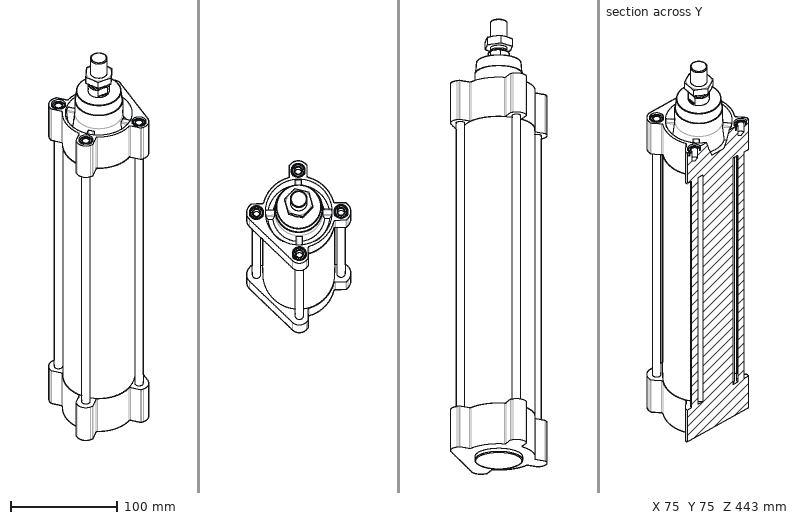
import cadquery as cq
import math

total_height = 443.0
pilot_height = 4.0
rear_cap_top = 45.0
front_cap_bottom = 334.5
front_cap_top = 374.0
neck_top = 390.5
collar_top = 402.0
flats_bottom = 403.5
shoulder_top = 411.5
undercut_top = 413.0
nut_bottom = 416.5
nut_thickness = 8.0

tube_diameter = 68.0
pilot_chamfer = 1.0
cap_width = 75.0
cap_diameter = 68.5
lug_radius = 9.5
lug_center = cap_width / 2 - lug_radius
lug_half_width = 8.5
root_fillet = 1.5
tip_fillet = 1.0

neck_diameter = 45.0
collar_base_diameter = 44.0
collar_top_diameter = 42.0
collar_chamfer = 0.5
pocket_depth = 20.0
pocket_rim_diameter = 63.0
pocket_floor_diameter = 58.5
pocket_hub_diameter = 49.0
rib_width = 6.0
rib_edge_fillet = 1.0
rib_drop = 3.0

tie_rod_diameter = 8.0
nut_bore_diameter = 13.5
nut_bore_depth = 5.5
tie_nut_diameter = 12.0
tie_nut_tip_diameter = 10.5
tie_nut_drop = 1.0
tap_mouth_diameter = 8.0
tap_diameter = 6.5
tap_depth = 13.5
drill_point_angle = 118.0

rod_diameter = 20.0
rod_flats_width = 17.5
shoulder_chamfer = 1.0
thread_diameter = 16.0
undercut_diameter = 14.0
thread_chamfer = 1.0
nut_across_flats = 24.0
nut_bevel_height = 0.35


def mirrored_points(x, y):
    """The point and its mirror images across the X and Y axes."""
    return [(sx * x, sy * y) for sx in (-1, 1) for sy in (-1, 1)]


def disc(diameter, bottom, top):
    """Cylinder on the Z axis."""
    return cq.Workplane("XY").workplane(offset=bottom).circle(diameter / 2).extrude(top - bottom)


def cone(bottom_diameter, top_diameter, bottom, top):
    """Frustum on the Z axis."""
    return cq.Workplane(
        cq.Solid.makeCone(bottom_diameter / 2, top_diameter / 2, top - bottom, cq.Vector(0, 0, bottom))
    )


def round_vertical_edge(body, x, y, bottom, top, radius):
    """Fillet the vertical edge of the body that stands at (x, y)."""
    edge_center = (x, y, (bottom + top) / 2)
    return body.edges("|Z").edges(cq.NearestToPointSelector(edge_center)).fillet(radius)


def lug(bottom, top):
    """Corner lug on the +X +Y diagonal: round outside, flat flanks parallel to the diagonal."""
    edge = cap_width / 2
    flank_shift = lug_half_width * math.sqrt(2)
    arc_mid = lug_center + lug_radius / math.sqrt(2)
    outline = (
        cq.Workplane("XY")
        .workplane(offset=bottom)
        .moveTo(0, flank_shift)
        .lineTo(edge - flank_shift, edge)
        .lineTo(lug_center, edge)
        .threePointArc((arc_mid, arc_mid), (edge, lug_center))
        .lineTo(edge, edge - flank_shift)
        .lineTo(flank_shift, 0)
        .close()
    )
    body = outline.extrude(top - bottom)
    body = round_vertical_edge(body, edge - flank_shift, edge, bottom, top, tip_fillet)
    return round_vertical_edge(body, edge, edge - flank_shift, bottom, top, tip_fillet)


def end_cap(bottom, top):
    """Round cap with four lugs and a flat plate joining the two +Y lugs."""
    cap = disc(cap_diameter, bottom, top)
    for quarter in range(4):
        cap = cap.union(lug(bottom, top).rotate((0, 0, 0), (0, 0, 1), 90 * quarter))
    root_reach = math.sqrt((cap_diameter / 2) ** 2 - lug_half_width**2)
    near = (root_reach - lug_half_width) / math.sqrt(2)
    far = (root_reach + lug_half_width) / math.sqrt(2)
    for x, y in mirrored_points(near, far) + mirrored_points(far, near):
        cap = round_vertical_edge(cap, x, y, bottom, top, root_fillet)
    plate = (
        cq.Workplane("XY")
        .workplane(offset=bottom)
        .rect(2 * lug_center, cap_width / 2)
        .extrude(top - bottom)
        .translate((0, cap_width / 4, 0))
    )
    return cap.union(plate)


def ring_pocket():
    """Drafted ring-shaped pocket around the neck, interrupted by four diagonal ribs."""
    floor = front_cap_top - pocket_depth
    pocket = cone(pocket_floor_diameter, pocket_rim_diameter, floor, front_cap_top)
    pocket = pocket.cut(cone(pocket_hub_diameter, neck_diameter, floor, front_cap_top))
    for angle in (45, 135):
        rib = (
            cq.Workplane("XY")
            .workplane(offset=floor)
            .rect(cap_diameter, rib_width)
            .extrude(pocket_depth - rib_drop)
            .edges(">Z and |X")
            .fillet(rib_edge_fillet)
            .rotate((0, 0, 0), (0, 0, 1), angle)
        )
        pocket = pocket.cut(rib)
    return pocket


def tie_nut_cutter():
    """Material removed around and inside one tie-rod nut, opening at z = 0."""
    bore = disc(nut_bore_diameter, -nut_bore_depth, 0)
    nut_edge = tie_nut_drop + (tie_nut_diameter - tie_nut_tip_diameter) / 2
    tie_nut = disc(tie_nut_diameter, -nut_bore_depth, -nut_edge)
    tie_nut = tie_nut.union(cone(tie_nut_diameter, tie_nut_tip_diameter, -nut_edge, -tie_nut_drop))
    mouth_depth = tie_nut_drop + (tap_mouth_diameter - tap_diameter) / 2
    tap = disc(tap_diameter, -tap_depth, -mouth_depth)
    point_depth = tap_depth + tap_diameter / 2 / math.tan(math.radians(drill_point_angle / 2))
    tap = tap.union(cone(0, tap_diameter, -point_depth, -tap_depth))
    tap = tap.union(cone(tap_diameter, tap_mouth_diameter, -mouth_depth, -tie_nut_drop))
    return bore.cut(tie_nut).union(tap)


def make_barrel():
    """Tube, both end caps, front neck, rear pilot and tie rods, bored for the piston rod."""
    barrel = disc(tube_diameter, rear_cap_top, front_cap_bottom)
    barrel = barrel.union(end_cap(pilot_height, rear_cap_top))
    barrel = barrel.union(end_cap(front_cap_bottom, front_cap_top))
    barrel = barrel.union(disc(neck_diameter, 0, pilot_height).faces("<Z").chamfer(pilot_chamfer))
    barrel = barrel.cut(ring_pocket())
    barrel = barrel.union(disc(neck_diameter, front_cap_top, neck_top))
    collar = cone(collar_base_diameter, collar_top_diameter, neck_top, collar_top)
    barrel = barrel.union(collar.faces(">Z").chamfer(collar_chamfer))
    for x, y in mirrored_points(lug_center, lug_center):
        barrel = barrel.union(disc(tie_rod_diameter, rear_cap_top, front_cap_bottom).translate((x, y, 0)))
        barrel = barrel.cut(tie_nut_cutter().translate((x, y, front_cap_top)))
    return barrel.cut(disc(rod_diameter, front_cap_bottom, collar_top))


def make_piston_rod():
    """Rod with two wrench flats facing X, an undercut and a chamfered threaded end."""
    rod = disc(rod_diameter, front_cap_bottom, flats_bottom)
    flats = (
        cq.Workplane("XY")
        .workplane(offset=flats_bottom)
        .rect(rod_flats_width, rod_diameter)
        .extrude(shoulder_top - flats_bottom)
    )
    shoulder = disc(rod_diameter, flats_bottom, shoulder_top).faces(">Z").chamfer(shoulder_chamfer)
    rod = rod.union(shoulder.intersect(flats))
    rod = rod.union(disc(undercut_diameter, shoulder_top, undercut_top))
    thread = disc(thread_diameter, undercut_top, total_height).faces(">Z or <Z").chamfer(thread_chamfer)
    return rod.union(thread)


def make_lock_nut():
    """Hexagon nut with corners along Y, slightly bevelled at both ends."""
    nut_top = nut_bottom + nut_thickness
    corner_diameter = nut_across_flats / math.cos(math.radians(30))
    hexagon = (
        cq.Workplane("XY")
        .workplane(offset=nut_bottom)
        .polygon(6, corner_diameter)
        .extrude(nut_thickness)
        .rotate((0, 0, 0), (0, 0, 1), 30)
    )
    lower_bevel = nut_bottom + nut_bevel_height
    upper_bevel = nut_top - nut_bevel_height
    envelope = cone(nut_across_flats, corner_diameter, nut_bottom, lower_bevel)
    envelope = envelope.union(disc(corner_diameter, lower_bevel, upper_bevel))
    envelope = envelope.union(cone(corner_diameter, nut_across_flats, upper_bevel, nut_top))
    return hexagon.intersect(envelope).cut(disc(thread_diameter, nut_bottom, nut_top))


barrel = make_barrel()
piston_rod = make_piston_rod()
lock_nut = make_lock_nut()

result = cq.Compound.makeCompound([barrel.val(), piston_rod.val(), lock_nut.val()])